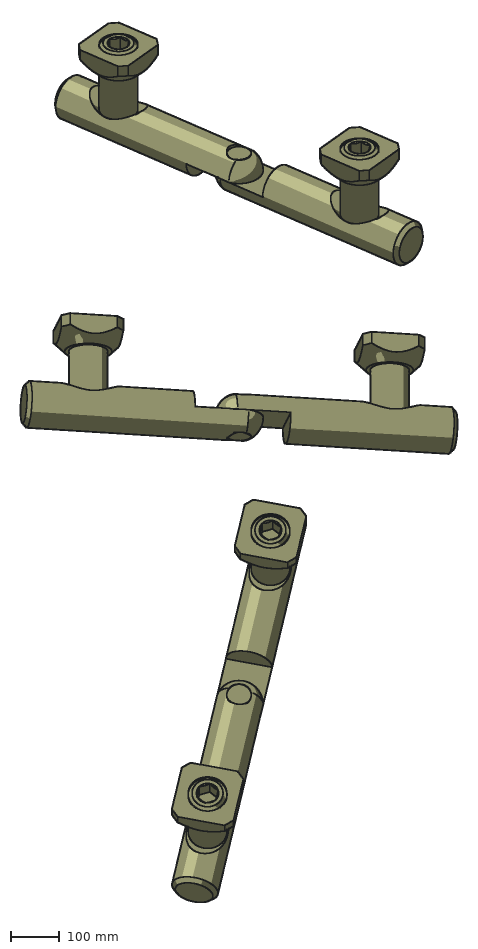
import cadquery as cq
import math

overall_length = 900.0
bar_diameter = 97.0
bar_radius = bar_diameter / 2
end_chamfer = 9.0
lap_length = 100.0
nose_diameter = 100.0
pivot_x = overall_length / 2
pivot_spot_diameter = 50.0
pivot_spot_height = math.sqrt(bar_radius**2 - (pivot_spot_diameter / 2) ** 2)

screw_inset = 135.0
screw_diameter = 80.0
screw_tip_diameter = 64.0
screw_top = 185.5
screw_bottom = 0.0
socket_corner_diameter = 46.0
socket_depth = 36.0
seat_diameter = 135.0
seat_overrun = 9.0

nut_width = 130.0
nut_corner_chamfer = 15.0
nut_height = 58.0
nut_top = 182.0
nut_bottom = nut_top - nut_height
nut_base_diameter = 97.0


def cylinder_z(diameter, bottom, top):
    return cq.Workplane("XY").workplane(offset=bottom).circle(diameter / 2).extrude(top - bottom)


def cone_45(bottom_radius, bottom, top):
    """Upright 90 degree cone frustum that widens upward."""
    height = top - bottom
    return cq.Workplane(cq.Solid.makeCone(
        bottom_radius, bottom_radius + height, height, cq.Vector(0, 0, bottom)))


def screw_hole():
    """Stud hole with its countersink, centred on the Z axis."""
    hole = cylinder_z(screw_diameter, screw_bottom, bar_radius + seat_overrun)
    seat_depth = (seat_diameter - screw_diameter) / 2
    seat = cone_45(screw_diameter / 2, bar_radius - seat_depth, bar_radius + seat_overrun)
    return hole.union(seat)


def make_bar():
    """Left bar, whose upper half laps over the pivot."""
    ball_radius = nose_diameter / 2
    ball_start = pivot_x + math.sqrt(ball_radius**2 - bar_radius**2)
    arc_middle = (
        pivot_x + ball_radius * math.cos(math.radians(45)),
        ball_radius * math.sin(math.radians(45)),
    )
    round_bar = (
        cq.Workplane("XY")
        .lineTo(0, bar_radius - end_chamfer)
        .lineTo(end_chamfer, bar_radius)
        .lineTo(ball_start, bar_radius)
        .threePointArc(arc_middle, (pivot_x + ball_radius, 0))
        .close()
        .revolve(360, (0, 0, 0), (1, 0, 0))
    )
    lap_cut = (
        cq.Workplane("XY")
        .box(2 * lap_length, bar_diameter, bar_radius, centered=(False, True, False))
        .translate((pivot_x - lap_length, 0, -bar_radius))
    )
    pivot_spot = cylinder_z(pivot_spot_diameter, pivot_spot_height, bar_radius)
    return (
        round_bar
        .cut(lap_cut)
        .cut(pivot_spot.translate((pivot_x, 0, 0)))
    )


def make_screw():
    """Chamfered stud with a hexagon socket in its top."""
    tip_chamfer = (screw_diameter - screw_tip_diameter) / 2
    socket_radius = socket_corner_diameter / 2
    lead_in = cone_45(0, screw_top - socket_radius, screw_top)
    return (
        cylinder_z(screw_diameter, screw_bottom, screw_top)
        .faces(">Z").chamfer(tip_chamfer)
        .faces(">Z").workplane().polygon(6, socket_corner_diameter).cutBlind(-socket_depth)
        .cut(lead_in)
    )


def make_nut():
    block = (
        cq.Workplane("XY").workplane(offset=nut_bottom)
        .rect(nut_width, nut_width).extrude(nut_height)
        .edges("|Z").chamfer(nut_corner_chamfer)
    )
    underside = cone_45(nut_base_diameter / 2, nut_bottom, nut_top)
    bore = cylinder_z(screw_diameter, nut_bottom, nut_top)
    return block.intersect(underside).cut(bore)


plain_bar = make_bar()
turned_bar = plain_bar.rotate((pivot_x, 0, 0), (pivot_x, 1, 0), 180)
screw_positions = [screw_inset, overall_length - screw_inset]

bodies = []
for bar, x in zip([plain_bar, turned_bar], screw_positions):
    place = (x, 0, 0)
    bodies.append(bar.cut(screw_hole().translate(place)).val())
    bodies.append(make_screw().translate(place).val())
    bodies.append(make_nut().translate(place).val())

result = cq.Compound.makeCompound(bodies)